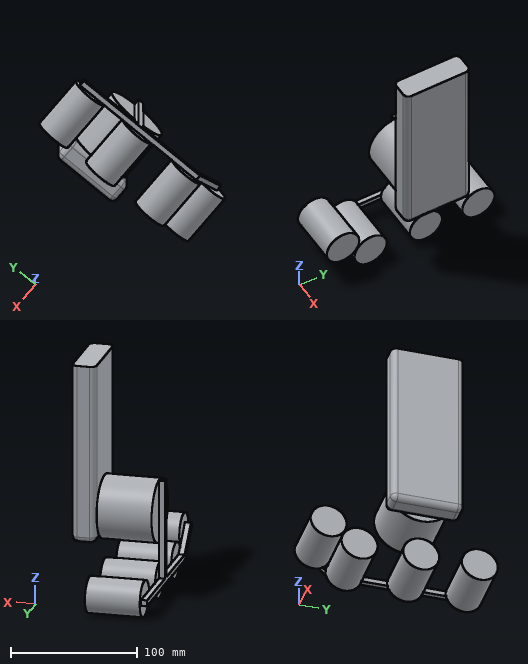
import cadquery as cq
import math


bar = 5.0
stem_top = 25.6
rail_height = -58.5
rail_end = 59.2
bend_y = -60.4
arm_reach = 20.3

drum_diameter = 52.0
drum_length = 45.0
handle_depth = 19.9
handle_width = 60.0
handle_height = 148.0
handle_offset = -0.2
handle_fillet = 5.0

roller_diameter = 30.0
rail_roller_ys = [48.5, 0.0, -51.0]
arm_roller_center = (-76.7, -41.7)
roller_centers = [(y, rail_height) for y in rail_roller_ys] + [arm_roller_center]

overall_height = 198.6
handle_top = rail_height - roller_diameter / 2 + overall_height
handle_bottom = handle_top - handle_height


def cylinder_along_x(center, diameter, length):
    """Cylinder from X = 0 toward +X, centred on a (Y, Z) point."""
    return cq.Workplane("YZ").center(*center).circle(diameter / 2).extrude(length)


def make_bracket():
    """Stem, rail and slanted round-ended arm, in front of the drum and rollers."""
    half = bar / 2
    miter = half * math.tan(math.radians(22.5))
    diagonal = half * math.sqrt(0.5)
    tip_y = bend_y - arm_reach
    tip_z = rail_height + arm_reach
    rail_top = rail_height + half
    rail_bottom = rail_height - half
    return (
        cq.Workplane("YZ")
        .moveTo(rail_end, rail_bottom)
        .lineTo(rail_end, rail_top)
        .lineTo(half, rail_top)
        .lineTo(half, stem_top)
        .lineTo(-half, stem_top)
        .lineTo(-half, rail_top)
        .lineTo(bend_y + miter, rail_top)
        .lineTo(tip_y + diagonal, tip_z + diagonal)
        .threePointArc(
            (tip_y - diagonal, tip_z + diagonal),
            (tip_y - diagonal, tip_z - diagonal),
        )
        .lineTo(bend_y - miter, rail_bottom)
        .close()
        .extrude(-bar)
    )


def make_drum_handle():
    """Upright handle, rounded except around its flat top, with the drum on its face."""
    handle = (
        cq.Workplane("XY", origin=(drum_length, handle_offset, handle_bottom))
        .rect(handle_depth, handle_width)
        .extrude(handle_height)
        .translate((handle_depth / 2, 0, 0))
        .edges("|Z or <Z")
        .fillet(handle_fillet)
    )
    drum = cylinder_along_x((0, 0), drum_diameter, drum_length)
    return handle.union(drum)


def make_roller(center):
    return cylinder_along_x(center, roller_diameter, drum_length)


bracket = make_bracket()
drum_handle = make_drum_handle()
rollers = [make_roller(center) for center in roller_centers]

result = cq.Compound.makeCompound(
    [bracket.val(), drum_handle.val(), *[roller.val() for roller in rollers]]
)